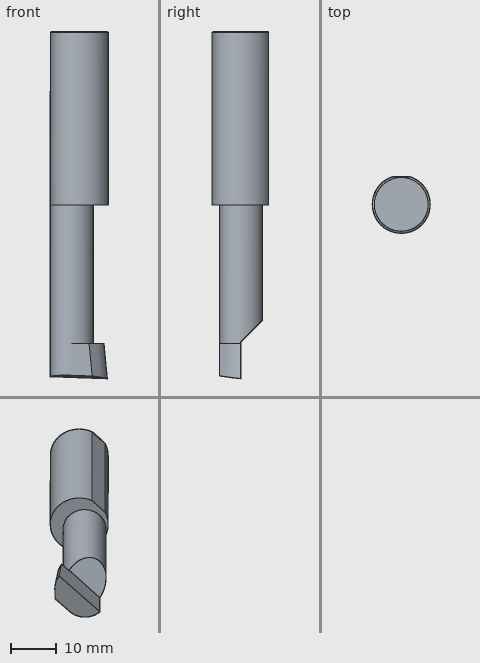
import cadquery as cq
import math

total_length = 76.2
shank_diameter = 12.7
shank_radius = shank_diameter / 2
shank_bottom = total_length / 2
chamfer_inset = 0.45
chamfer_height = 0.2
width_across_flat = 12.4

neck_diameter = 9.45
neck_radius = neck_diameter / 2
neck_x = neck_radius - shank_radius
relief_bottom = 8.1

head_top = 7.8
head_tip_x = 6.2
side_angle = 5.5
head_bevel = 1.4
bevel_start_x = 2.9
flank_radius = 6.1

end_angle_x = 2.0
end_angle_y = 6.0


def make_shank():
    height = total_length - shank_bottom
    shank = cq.Workplane("XY").workplane(offset=shank_bottom).circle(shank_radius).extrude(height)
    shank = shank.faces(">Z").edges().chamfer(chamfer_height, chamfer_inset)
    flat_y = width_across_flat - shank_radius
    flat_cutter = cq.Workplane("XY").box(
        shank_diameter, shank_radius, total_length, centered=(True, False, False)
    ).translate((0, flat_y, 0))
    return shank.cut(flat_cutter)


def make_neck():
    neck = cq.Workplane("XY").center(neck_x, 0).circle(neck_radius).extrude(shank_bottom)
    relief_depth = 2 * neck_radius
    relief = (
        cq.Workplane("YZ")
        .moveTo(0, 0)
        .lineTo(relief_depth, 0)
        .lineTo(relief_depth, relief_bottom + relief_depth)
        .lineTo(0, relief_bottom)
        .close()
        .extrude(shank_diameter, both=True)
    )
    return neck.cut(relief)


def head_section(plane, inset):
    """Draw the head outline with its +X side moved inward by inset."""
    bevel_x = bevel_start_x - inset
    return (
        plane.moveTo(neck_x, 0)
        .lineTo(neck_x, -neck_radius)
        .lineTo(bevel_x, -neck_radius)
        .lineTo(bevel_x + head_bevel, head_bevel - neck_radius)
        .radiusArc((head_tip_x - inset, 0), -flank_radius)
        .close()
    )


def make_head():
    top_inset = head_top * math.tan(math.radians(side_angle))
    bottom = head_section(cq.Workplane("XY"), 0)
    return head_section(bottom.workplane(offset=head_top), top_inset).loft(ruled=True)


def make_end_cutter():
    """Block lying below the sloping end face."""
    slope_x = math.tan(math.radians(end_angle_x))
    slope_y = math.tan(math.radians(end_angle_y))
    end_plane = cq.Plane(
        origin=(head_tip_x, 0, 0),
        xDir=(1, 0, -slope_x),
        normal=(slope_x, slope_y, 1),
    )
    block_width = 4 * shank_diameter
    return cq.Workplane(end_plane).rect(block_width, block_width).extrude(-shank_diameter)


result = make_shank().union(make_neck()).union(make_head()).cut(make_end_cutter())